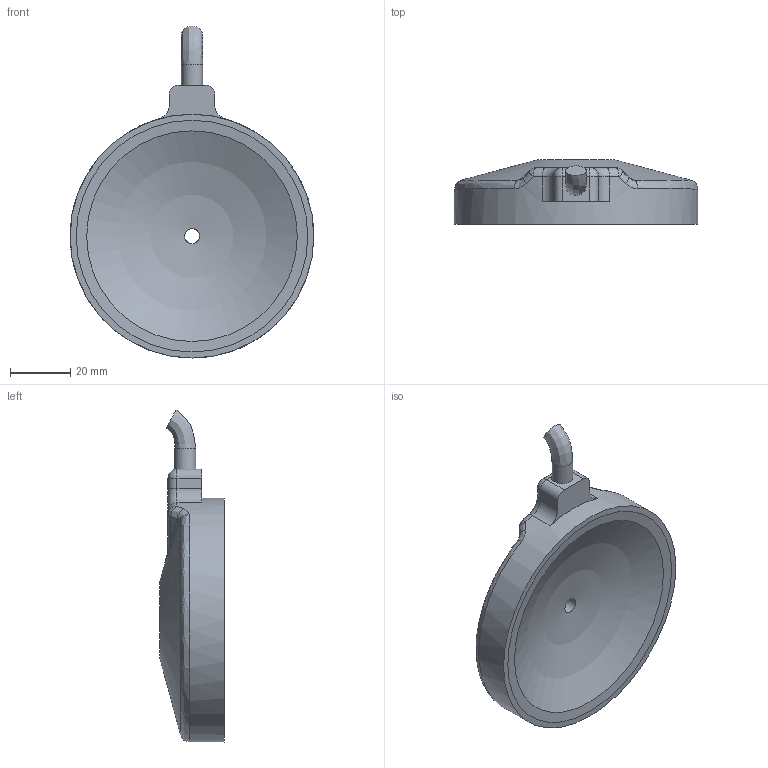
import cadquery as cq
import math

HOUSING_RADIUS = 40.5
HOUSING_DEPTH = 21.5
SIDE_HEIGHT = 11.7
BACK_SLOPE = math.radians(15)
EDGE_FILLET = 3.0
CONE_FOOT = SIDE_HEIGHT + EDGE_FILLET * math.tan((math.pi / 2 - BACK_SLOPE) / 2)
BACK_FLAT_RADIUS = HOUSING_RADIUS - (HOUSING_DEPTH - CONE_FOOT) / math.tan(BACK_SLOPE)

LIP_RADIUS = 38.5
LIP_DEPTH = 0.35
DISH_RADIUS = 35.0
DISH_BOTTOM = 9.2
HOLE_RADIUS = 2.5

PAD_LEVEL = 18.75
PAD_HALF_ANGLE = math.radians(22.5)
PAD_DRAFT = math.radians(45)
PAD_FOOT_FILLET = 3.0
PAD_ROOT = SIDE_HEIGHT

BLOCK_HALF_WIDTH = 7.5
BLOCK_FRONT = 7.5
BLOCK_TOP = 50.2
BLOCK_CORNER = 3.0
BLOCK_BLEND = 5.0

CABLE_RADIUS = 3.5
CABLE_Y = 13.0
CABLE_STRAIGHT = 7.0
BEND_SHIFT = 4.7
BEND_RISE = 9.53
BEND_ANGLE = math.radians(63)

TOLERANCE = 0.01


def face_plane(y):
    """Plane parallel to the open face, with X and Z as its axes and its normal toward -Y."""
    return cq.Plane(origin=(0, y, 0), xDir=(1, 0, 0), normal=(0, -1, 0))


def turned(profile):
    """Solid turned about the Y axis from a closed XY profile."""
    return profile.revolve(360, (0, 0, 0), (0, 1, 0))


def cylinder(radius):
    """Cylinder on the Y axis over the housing's whole depth."""
    return cq.Workplane(face_plane(HOUSING_DEPTH)).circle(radius).extrude(HOUSING_DEPTH)


def distance_from_axis(point):
    return math.hypot(point.x, point.z)


def make_shell():
    """Solid disc with a conical back and a flat in its middle."""
    profile = (
        cq.Workplane("XY")
        .lineTo(HOUSING_RADIUS, 0)
        .lineTo(HOUSING_RADIUS, CONE_FOOT)
        .lineTo(BACK_FLAT_RADIUS, HOUSING_DEPTH)
        .lineTo(0, HOUSING_DEPTH)
        .close()
    )
    return turned(profile)


def make_pad_side(side):
    """Slab up to the pad's level, with one drafted side that follows a radial line (side is -1 or 1)."""
    sine = math.sin(PAD_HALF_ANGLE)
    cosine = math.cos(PAD_HALF_ANGLE)
    section = cq.Plane(origin=(0, 0, 0), xDir=(cosine, 0, -side * sine), normal=(side * sine, 0, cosine))
    side_run = (PAD_LEVEL - PAD_ROOT) * math.tan(PAD_DRAFT)
    slab_width = 2 * HOUSING_RADIUS
    slab = (
        cq.Workplane(section)
        .moveTo(0, PAD_LEVEL)
        .lineTo(side * side_run, PAD_ROOT)
        .lineTo(-side * slab_width, PAD_ROOT)
        .lineTo(-side * slab_width, PAD_LEVEL)
        .close()
        .extrude(HOUSING_RADIUS)
    )
    ridge_middle = (side * sine * HOUSING_RADIUS / 2, PAD_LEVEL, cosine * HOUSING_RADIUS / 2)
    return slab.edges(cq.selectors.NearestToPointSelector(ridge_middle)).fillet(EDGE_FILLET)


def make_pad():
    """Wedge common to both drafted slabs, trimmed to the housing's outline."""
    return cylinder(HOUSING_RADIUS).intersect(make_pad_side(-1)).intersect(make_pad_side(1))


def is_pad_foot(edge):
    """True for the edges where the pad's sides run into the back cone."""
    middle = edge.positionAt(0.5)
    above_axis = middle.z > TOLERANCE
    on_pad_side = CONE_FOOT + TOLERANCE < middle.y < PAD_LEVEL - TOLERANCE
    radius = distance_from_axis(middle)
    cone_y = HOUSING_DEPTH - (radius - BACK_FLAT_RADIUS) * math.tan(BACK_SLOPE)
    return above_axis and on_pad_side and abs(middle.y - cone_y) < TOLERANCE


def make_block():
    """Block on the rim, with rounded top corners and blends into the round side wall."""
    blend_x = BLOCK_HALF_WIDTH + BLOCK_BLEND
    blend_z = math.sqrt((HOUSING_RADIUS + BLOCK_BLEND) ** 2 - blend_x**2)
    toe_ratio = HOUSING_RADIUS / (HOUSING_RADIUS + BLOCK_BLEND)
    toe_x = blend_x * toe_ratio
    toe_z = blend_z * toe_ratio
    half_sweep = math.atan2(blend_z, blend_x) / 2
    middle_x = blend_x - BLOCK_BLEND * math.cos(half_sweep)
    middle_z = blend_z - BLOCK_BLEND * math.sin(half_sweep)
    block = (
        cq.Workplane(face_plane(PAD_LEVEL))
        .moveTo(-toe_x, toe_z)
        .threePointArc((-middle_x, middle_z), (-BLOCK_HALF_WIDTH, blend_z))
        .lineTo(-BLOCK_HALF_WIDTH, BLOCK_TOP)
        .lineTo(BLOCK_HALF_WIDTH, BLOCK_TOP)
        .lineTo(BLOCK_HALF_WIDTH, blend_z)
        .threePointArc((middle_x, middle_z), (toe_x, toe_z))
        .threePointArc((0, HOUSING_RADIUS), (-toe_x, toe_z))
        .close()
        .extrude(PAD_LEVEL - BLOCK_FRONT)
    )
    return block.faces(">Z").edges("|Y").fillet(BLOCK_CORNER)


def is_back_outline(edge):
    """True for the edges that run along the back of the outline, round the housing and the block."""
    points = [edge.positionAt(t) for t in (0.1, 0.5, 0.9)]
    return all(p.y > SIDE_HEIGHT and distance_from_axis(p) > HOUSING_RADIUS - TOLERANCE for p in points)


def make_dish_cutter():
    """Conical lip and spherical dish, as one turned solid."""
    sag = DISH_BOTTOM - LIP_DEPTH
    sphere_radius = (DISH_RADIUS**2 + sag**2) / (2 * sag)
    middle_x = DISH_RADIUS / 2
    middle_y = DISH_BOTTOM - sphere_radius + math.sqrt(sphere_radius**2 - middle_x**2)
    profile = (
        cq.Workplane("XY")
        .lineTo(LIP_RADIUS, 0)
        .lineTo(DISH_RADIUS, LIP_DEPTH)
        .threePointArc((middle_x, middle_y), (0, DISH_BOTTOM))
        .close()
    )
    return turned(profile)


def make_housing():
    body = make_shell().union(make_pad())
    pad_feet = [edge for edge in body.edges().vals() if is_pad_foot(edge)]
    body = body.newObject(pad_feet).fillet(PAD_FOOT_FILLET)
    body = body.union(make_block())
    back_outline = [edge for edge in body.edges().vals() if is_back_outline(edge)]
    body = body.newObject(back_outline).fillet(EDGE_FILLET)
    return body.cut(make_dish_cutter()).cut(cylinder(HOLE_RADIUS))


def make_cable():
    """Round cable that stands on the block's top and bends away toward +Y."""
    bend_start = BLOCK_TOP + CABLE_STRAIGHT
    start = (CABLE_Y, bend_start)
    end = (CABLE_Y + BEND_SHIFT, bend_start + BEND_RISE)
    end_direction = (math.sin(BEND_ANGLE), math.cos(BEND_ANGLE))
    path = cq.Workplane("YZ").spline([start, end], tangents=[(0, 1), end_direction])
    straight = cq.Workplane("XY", origin=(0, CABLE_Y, BLOCK_TOP)).circle(CABLE_RADIUS).extrude(CABLE_STRAIGHT)
    bend = cq.Workplane("XY", origin=(0, CABLE_Y, bend_start)).circle(CABLE_RADIUS).sweep(path)
    return straight.union(bend)


housing = make_housing()
cable = make_cable()
result = cq.Compound.makeCompound([housing.solids().val(), cable.solids().val()])